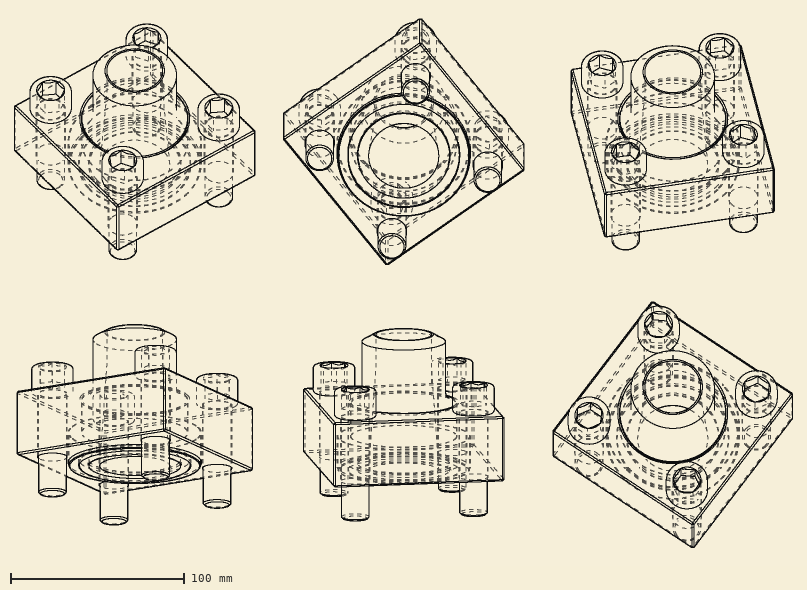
import cadquery as cq
import math

block_side = 100.0
block_height = 38.0
block_chamfer = 1.0
screw_length = 60.0
block_top = screw_length
block_bottom = block_top - block_height
screw_hole_diameter = 17.0
screw_circle_diameter = 98.0
neck_hole_diameter = 61.5
neck_hole_chamfer = 1.0
recess_diameter = 77.0

neck_top = 100.0
pipe_diameter = 48.3
pipe_bore = 32.3
taper_end_bore = 40.5
taper_top = 80.0
weld_land = 1.0
weld_bevel_angle = 30.0
shank_diameter = 61.0
collar_diameter = 76.0
collar_top = 40.0
collar_bottom = 20.0
collar_chamfer = 0.5

groove_inner_diameter = 53.0
groove_outer_diameter = 64.7
seal_section_diameter = 5.3
seal_protrusion = 1.4
groove_depth = seal_section_diameter - seal_protrusion
groove_top = collar_bottom + groove_depth

screw_count = 4
screw_diameter = 16.0
screw_tip_chamfer = 1.0
head_diameter = 24.0
head_height = 16.0
head_rounding = 1.6
socket_width = 14.0
socket_depth = 11.0
socket_corner_diameter = socket_width / math.cos(math.radians(30))
socket_mouth_diameter = 16.2
head_top = screw_length + head_height


def disc(diameter, bottom, top):
    """Upright cylinder on the main axis between two heights."""
    return cq.Workplane("XY").workplane(offset=bottom).circle(diameter / 2).extrude(top - bottom)


def make_block():
    block = (
        cq.Workplane("XY")
        .workplane(offset=block_bottom)
        .rect(block_side, block_side)
        .extrude(block_height)
        .edges()
        .chamfer(block_chamfer)
    )
    block = block.cut(disc(neck_hole_diameter, block_bottom, block_top))
    block = block.faces(">Z").edges("%CIRCLE").chamfer(neck_hole_chamfer)
    block = block.cut(disc(recess_diameter, block_bottom, collar_top))
    screw_holes = (
        cq.Workplane("XY")
        .workplane(offset=block_bottom)
        .polarArray(screw_circle_diameter / 2, 45, 360, screw_count)
        .circle(screw_hole_diameter / 2)
        .extrude(block_height)
    )
    return block.cut(screw_holes)


def make_weld_neck():
    pipe_radius = pipe_diameter / 2
    bore_radius = pipe_bore / 2
    shank_radius = shank_diameter / 2
    collar_radius = collar_diameter / 2
    bevel_radius = bore_radius + weld_land
    bevel_height = (pipe_radius - bevel_radius) * math.tan(math.radians(weld_bevel_angle))
    neck_round = shank_radius - pipe_radius
    neck_round_top = block_top + neck_round
    inset = neck_round * (1 - math.sqrt(0.5))
    neck = (
        cq.Workplane("XZ")
        .moveTo(bore_radius, neck_top)
        .lineTo(bevel_radius, neck_top)
        .lineTo(pipe_radius, neck_top - bevel_height)
        .lineTo(pipe_radius, neck_round_top)
        .threePointArc((pipe_radius + inset, block_top + inset), (shank_radius, block_top))
        .lineTo(shank_radius, collar_top)
        .lineTo(collar_radius, collar_top)
        .lineTo(collar_radius, collar_bottom + collar_chamfer)
        .lineTo(collar_radius - collar_chamfer, collar_bottom)
        .lineTo(taper_end_bore / 2, collar_bottom)
        .lineTo(bore_radius, taper_top)
        .close()
        .revolve(360, (0, 0, 0), (0, 1, 0))
    )
    groove = disc(groove_outer_diameter, collar_bottom, groove_top).cut(
        disc(groove_inner_diameter, collar_bottom, groove_top)
    )
    return neck.cut(groove)


def make_seal_ring():
    """Round-section ring, centred in the groove and resting against its floor."""
    section_radius = seal_section_diameter / 2
    ring_radius = (groove_inner_diameter + groove_outer_diameter) / 4
    return (
        cq.Workplane("XZ")
        .center(ring_radius, groove_top - section_radius)
        .circle(section_radius)
        .revolve(360, (-ring_radius, 0, 0), (-ring_radius, 1, 0))
    )


def make_screw():
    """Socket head cap screw on the main axis, tip at z = 0."""
    shank = disc(screw_diameter, 0, screw_length).faces("<Z").chamfer(screw_tip_chamfer)
    head = disc(head_diameter, screw_length, head_top).edges().fillet(head_rounding)
    socket = (
        cq.Workplane("XY")
        .workplane(offset=head_top)
        .polygon(6, socket_corner_diameter)
        .extrude(-socket_depth)
    )
    mouth_radius = socket_mouth_diameter / 2
    flat_radius = socket_width / 2
    countersink_depth = mouth_radius - flat_radius
    countersink = cq.Workplane("XY").add(
        cq.Solid.makeCone(
            flat_radius,
            mouth_radius,
            countersink_depth,
            pnt=cq.Vector(0, 0, head_top - countersink_depth),
        )
    )
    return shank.union(head).cut(socket).cut(countersink)


def make_screws():
    """Screws turned about the main axis, one near each corner of the block."""
    screws = []
    for index in range(screw_count):
        angle = 45 + index * 360 / screw_count
        screw = make_screw().rotate((0, 0, 0), (0, 0, 1), angle - 45)
        x = screw_circle_diameter / 2 * math.cos(math.radians(angle))
        y = screw_circle_diameter / 2 * math.sin(math.radians(angle))
        screws.append(screw.translate((x, y, 0)).val())
    return screws


block = make_block()
weld_neck = make_weld_neck()
seal_ring = make_seal_ring()
screws = make_screws()

result = cq.Compound.makeCompound([block.val(), weld_neck.val(), seal_ring.val(), *screws])